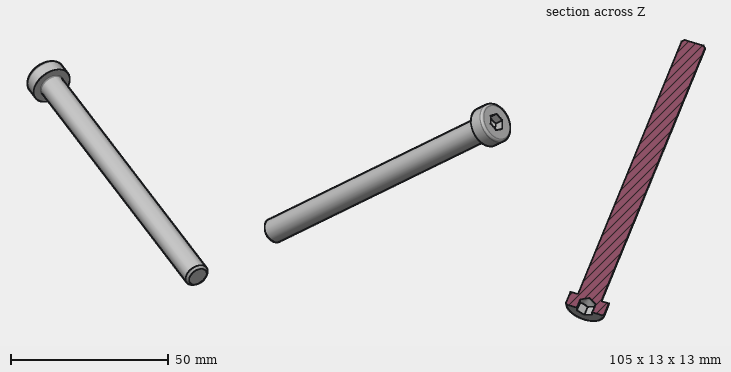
import cadquery as cq
import math

total_length = 105
head_diameter = 13.0
head_height = 5.0
head_edge_radius = 0.8
shank_diameter = 8.0
neck_fillet = 0.2
tip_chamfer = 0.8

socket_across_flats = 5.0
socket_wall_depth = 3.0
floor_cone_angle = 120


def make_body():
    """Revolve the head and the shank, with the fillet between them, about the X axis."""
    head_radius = head_diameter / 2
    shank_radius = shank_diameter / 2
    profile = (
        cq.Workplane("XY")
        .lineTo(0, head_radius)
        .lineTo(head_height, head_radius)
        .lineTo(head_height, shank_radius + neck_fillet)
        .radiusArc((head_height + neck_fillet, shank_radius), -neck_fillet)
        .lineTo(total_length, shank_radius)
        .lineTo(total_length, 0)
        .close()
    )
    body = profile.revolve(360, (0, 0, 0), (1, 0, 0))
    body = body.faces("<X").edges().fillet(head_edge_radius)
    return body.faces(">X").edges().chamfer(tip_chamfer)


def make_socket():
    """Hexagonal prism with corners at +Z and -Z, trimmed by a cone through its corners."""
    corner_radius = socket_across_flats / 2 / math.cos(math.radians(30))
    cone_height = corner_radius / math.tan(math.radians(floor_cone_angle / 2))
    socket_depth = socket_wall_depth + cone_height
    prism = (
        cq.Workplane("YZ")
        .transformed(rotate=(0, 0, 90))
        .polygon(6, 2 * corner_radius)
        .extrude(socket_depth)
    )
    pointed_envelope = (
        cq.Workplane("XY")
        .lineTo(0, corner_radius)
        .lineTo(socket_wall_depth, corner_radius)
        .lineTo(socket_depth, 0)
        .close()
        .revolve(360, (0, 0, 0), (1, 0, 0))
    )
    return prism.intersect(pointed_envelope)


result = make_body().cut(make_socket())